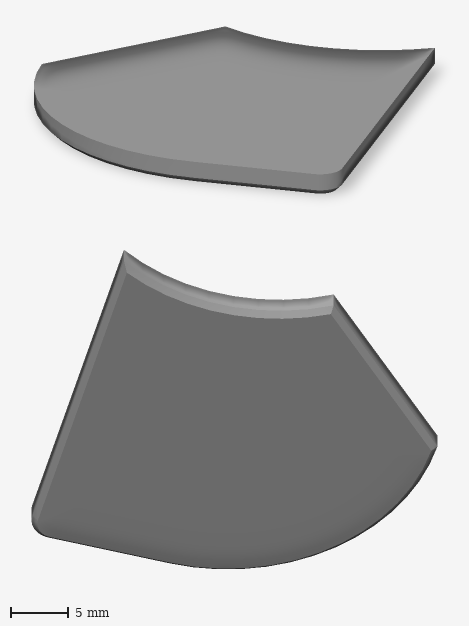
import cadquery as cq
import math

gauge_radius = 19.0
side_length = 32.0
thickness = 2.0
corner_radius = 2.0
bottom_chamfer = 0.5

concave_chord = gauge_radius
half_chord = concave_chord / 2
concave_depth = gauge_radius - math.sqrt(gauge_radius**2 - half_chord**2)
concave_start_x = side_length - concave_chord
concave_middle_x = side_length - half_chord

convex_middle = gauge_radius - gauge_radius / math.sqrt(2)


def gauge_plate():
    """Plate with a convex front left corner, a concave back edge and a 45 degree back left cut."""
    return (
        cq.Workplane("XY")
        .moveTo(0, gauge_radius)
        .threePointArc((convex_middle, convex_middle), (gauge_radius, 0))
        .lineTo(side_length, 0)
        .lineTo(side_length, side_length)
        .threePointArc((concave_middle_x, side_length - concave_depth), (concave_start_x, side_length))
        .close()
        .extrude(thickness)
    )


def round_front_right_corner(plate):
    return plate.edges("|Z and >X and <Y").fillet(corner_radius)


def chamfer_bottom_rim(plate):
    return plate.faces("<Z").edges().chamfer(bottom_chamfer)


plate = gauge_plate()
plate = round_front_right_corner(plate)
result = chamfer_bottom_rim(plate)